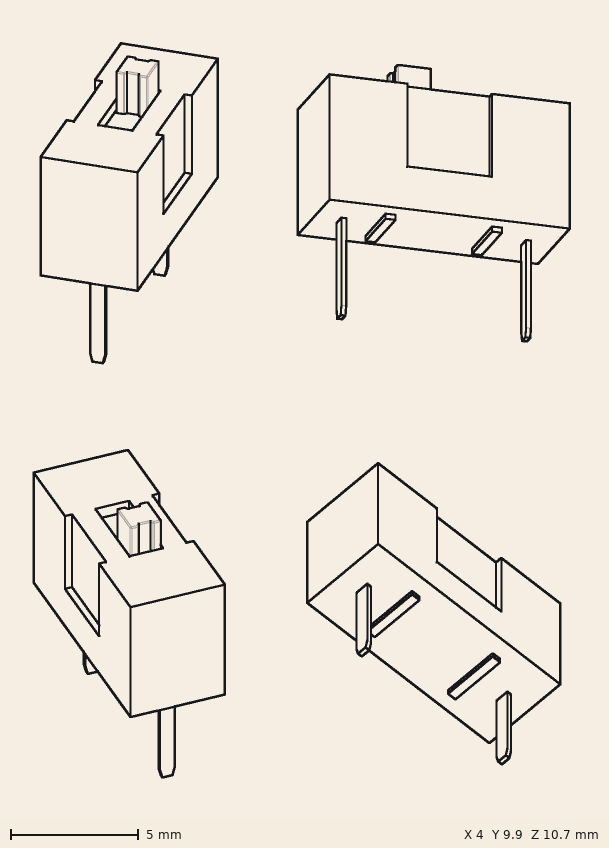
import cadquery as cq


body_width = 4.0
body_length = 9.9
body_height = 5.27

window_length = 3.48
recess_depth = 0.3
recess_height = window_length
slot_width = 1.43
slot_depth = 0.5

overall_height = 10.65
slider_rise = 1.32
slider_width = 1.3
slider_length = 1.4
slider_end_gap = 0.03
slider_rounding = 0.05
groove_mouth_width = 0.65
groove_floor_width = 0.48
groove_depth = 0.12

standoff_width = 2.52
standoff_thickness = 0.4
standoff_height = 0.21
standoff_pitch = 4.39

pin_length = overall_height - body_height - slider_rise
pin_width = 0.62
pin_thickness = 0.2
pin_pitch = 7.61
pin_tip_width = 0.43
pin_tip_length = 0.37


def make_body():
    """Block with a recess in each long side and a slot in the top."""
    body = cq.Workplane("XY").box(body_width, body_length, body_height, centered=(True, True, False))
    for side in (-1, 1):
        recess = (
            cq.Workplane("XY", origin=(side * body_width / 2, 0, body_height - recess_height))
            .box(2 * recess_depth, window_length, recess_height, centered=(True, True, False))
        )
        body = body.cut(recess)
    slot = (
        cq.Workplane("XY", origin=(0, 0, body_height - slot_depth))
        .box(slot_width, window_length, slot_depth, centered=(True, True, False))
    )
    return body.cut(slot)


def make_slider():
    """Rounded block with a tapered vertical groove in both of its end faces."""
    height = slot_depth + slider_rise
    center_y = window_length / 2 - slider_end_gap - slider_length / 2
    slider = (
        cq.Workplane("XY", origin=(0, center_y, body_height - slot_depth))
        .box(slider_width, slider_length, height, centered=(True, True, False))
    )
    mouth = groove_mouth_width / 2
    floor = groove_floor_width / 2
    for side in (-1, 1):
        end_y = center_y + side * slider_length / 2
        floor_y = end_y - side * groove_depth
        groove = (
            cq.Workplane("XY", origin=(0, 0, body_height - slot_depth))
            .polyline([(-mouth, end_y), (-floor, floor_y), (floor, floor_y), (mouth, end_y)])
            .close()
            .extrude(height)
        )
        slider = slider.cut(groove)
    slider = slider.faces("<Y or >Y").edges("|Z").fillet(slider_rounding)
    return slider.faces(">Z").edges().fillet(slider_rounding)


def make_standoff(y):
    """Thin bar across the underside of the body."""
    return (
        cq.Workplane("XY", origin=(0, y, -standoff_height))
        .box(standoff_width, standoff_thickness, standoff_height, centered=(True, True, False))
    )


def make_pin(y):
    """Flat pin with a tapered tip."""
    half_width = pin_width / 2
    half_tip = pin_tip_width / 2
    taper_z = pin_tip_length - pin_length
    return (
        cq.Workplane("XZ", origin=(0, y, 0))
        .polyline([
            (-half_width, 0),
            (-half_width, taper_z),
            (-half_tip, -pin_length),
            (half_tip, -pin_length),
            (half_width, taper_z),
            (half_width, 0),
        ])
        .close()
        .extrude(pin_thickness / 2, both=True)
    )


result = make_body().union(make_slider())
for end in (-1, 1):
    result = result.union(make_standoff(end * standoff_pitch / 2))
    result = result.union(make_pin(end * pin_pitch / 2))